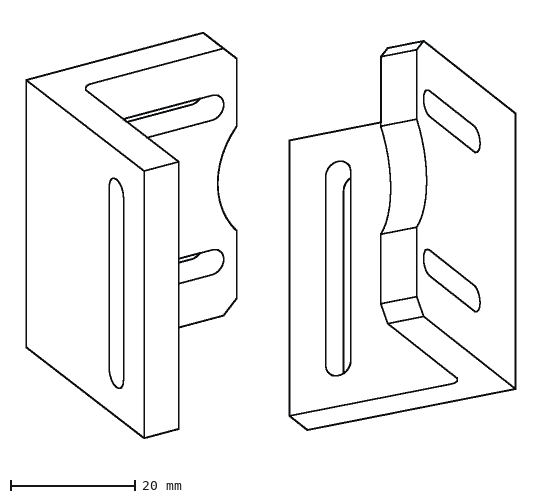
import cadquery as cq

length_x = 37.45
length_y = 35.55
height = 48.25
thickness = 6.45
inner_fillet = 2.0

slot_width = 4.5
front_slot_x = 28.65
front_slot_length = 37.5
side_slot_start_y = 12.8
side_slot_end_y = 33.1
side_slot_spacing = 27.9

corner_chamfer = 2.5
notch_depth = 3.55
notch_half_chord = 9.45
notch_radius = (notch_half_chord**2 + notch_depth**2) / (2 * notch_depth)

mid_height = height / 2


def make_angle():
    """L-shaped body with a filleted inner corner."""
    front_plate = cq.Workplane("XY").box(length_x, thickness, height, centered=False)
    side_plate = cq.Workplane("XY").box(thickness, length_y, height, centered=False)
    inner_corner = cq.selectors.NearestToPointSelector((thickness, thickness, mid_height))
    return front_plate.union(side_plate).edges(inner_corner).fillet(inner_fillet)


def make_front_slot():
    """Vertical slot through the front plate."""
    return (
        cq.Workplane("XZ", origin=(front_slot_x, 0, mid_height))
        .slot2D(front_slot_length, slot_width, 90)
        .extrude(-thickness)
    )


def make_side_slots():
    """Pair of horizontal slots through the side plate."""
    center_y = (side_slot_start_y + side_slot_end_y) / 2
    return (
        cq.Workplane("YZ", origin=(0, center_y, mid_height))
        .pushPoints([(0, -side_slot_spacing / 2), (0, side_slot_spacing / 2)])
        .slot2D(side_slot_end_y - side_slot_start_y, slot_width)
        .extrude(thickness)
    )


def make_edge_notch():
    """Cylinder that cuts the shallow round notch in the free edge."""
    center_y = length_y - notch_depth + notch_radius
    return (
        cq.Workplane("YZ", origin=(0, center_y, mid_height))
        .circle(notch_radius)
        .extrude(thickness)
    )


bracket = make_angle().faces(">Y").edges("|X").chamfer(corner_chamfer)
result = bracket.cut(make_front_slot()).cut(make_side_slots()).cut(make_edge_notch())